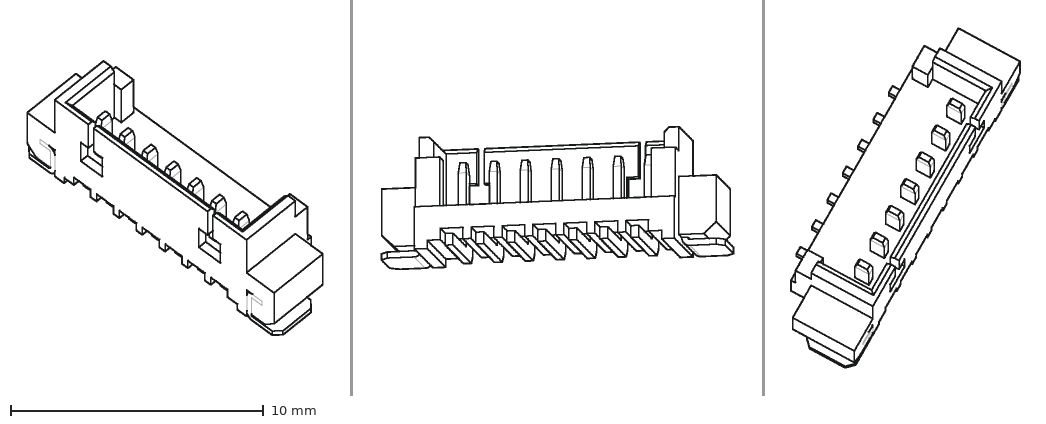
import cadquery as cq


length = 13.9
depth = 4.2
height = 4.7

housing_length = 10.5
housing_depth = 3.71
front_rim = 0.2
end_rim = 0.4
rim_chamfer = 0.2
front_wall = front_rim + rim_chamfer
end_wall = end_rim + rim_chamfer
floor_z = 1.71
wall_back = 2.8

column_width = 0.97
column_back = 3.5
column_top = 3.73

wing_length = 13.51
wing_top = 2.68
wing_bottom = 0.33
wing_chamfer_x = 0.5
wing_chamfer_z = 0.46

slot_inner = 3.11
slot_outer = 3.4
window_inner = 2.64
window_outer = 3.82
window_bottom = 2.11
window_top = 3.25

foot_width = 0.51
comb_length = 8.4
comb_roof = 0.79
tooth_width = 0.33

pin_count = 7
pin_pitch = 1.25
pin_width = 0.32
post_front = 0.92
post_back = 1.55
pin_top = 3.89
tip_height = 0.42
tip_inset_x = 0.04
tip_inset_y = 0.1
foot_front = 0.24
heel_height = 0.33
heel_run = 0.3
tail_height = 0.47

clip_depth = 2.22
clip_thickness = 0.25
clip_top = 1.63
clip_arm = 0.82
clip_inner_radius = 0.07
clip_outer_radius = clip_inner_radius + clip_thickness
clip_corner_chamfer = 0.3


def box(x0, x1, y0, y1, z0, z1):
    """Axis-aligned box between two opposite corners."""
    return cq.Workplane("XY").box(x1 - x0, y1 - y0, z1 - z0, centered=False).translate((x0, y0, z0))


def centered_box(width, y0, y1, z0, z1):
    """Box symmetric about X = 0."""
    return box(-width / 2, width / 2, y0, y1, z0, z1)


def both_sides(shape):
    """The shape together with its mirror image across X = 0."""
    return shape.union(shape.mirror("YZ"))


def make_housing():
    """Body with wings and the open cavity above the floor."""
    core = centered_box(housing_length, 0, housing_depth, 0, height)
    wings = (
        centered_box(wing_length, 0, wall_back, wing_bottom, wing_top)
        .faces("<Z").edges("|Y").chamfer(wing_chamfer_z, wing_chamfer_x)
    )
    above_ledge = centered_box(housing_length, wall_back, housing_depth, floor_z, height)
    cavity = centered_box(housing_length - 2 * end_wall, front_wall, housing_depth, floor_z, height)
    return core.union(wings).cut(above_ledge).cut(cavity).cut(make_rim_bevel()).union(make_columns())


def make_rim_bevel():
    """Tapered volume that bevels the inner top edges of the front and end walls."""
    base_length = housing_length - 2 * end_wall
    rim_length = housing_length - 2 * end_rim
    middle = (front_wall + housing_depth) / 2
    base_width = housing_depth - front_wall
    return (
        cq.Workplane("XY", origin=(0, middle, height - rim_chamfer))
        .rect(base_length, base_width)
        .workplane(offset=rim_chamfer)
        .rect(rim_length, base_width + 2 * rim_chamfer)
        .loft(ruled=True)
    )


def make_columns():
    """Low columns at the two back corners of the cavity."""
    outer = housing_length / 2
    return both_sides(box(outer - column_width, outer, wall_back, column_back, floor_z, column_top))


def make_front_openings():
    """Latch windows in the front wall, each with a narrow slot up to the rim."""
    slot = box(slot_inner, slot_outer, 0, front_wall, window_top, height)
    window = box(window_inner, window_outer, 0, front_wall, window_bottom, window_top)
    return both_sides(slot.union(window))


def make_underside_cut():
    """Relief under the housing that leaves end feet and a comb of teeth between the pins."""
    relief = centered_box(housing_length - 2 * foot_width, 0, housing_depth, 0, wing_bottom)
    comb = centered_box(comb_length, 0, housing_depth, wing_bottom, comb_roof)
    for i in range(pin_count - 1):
        x = (i - (pin_count - 2) / 2) * pin_pitch
        tooth = centered_box(tooth_width, 0, housing_depth, wing_bottom, comb_roof)
        comb = comb.cut(tooth.translate((x, 0, 0)))
    return relief.union(comb)


def make_pin():
    """Upright contact post with a tapered tip, a sloped heel and a flat solder tail."""
    profile = [
        (foot_front, comb_roof),
        (foot_front, heel_height),
        (foot_front + heel_run, 0),
        (depth, 0),
        (depth, tail_height),
        (post_back, tail_height),
        (post_back, comb_roof),
    ]
    foot = cq.Workplane("YZ").polyline(profile).close().extrude(pin_width / 2, both=True)
    post_depth = post_back - post_front
    shoulder = pin_top - tip_height
    post = centered_box(pin_width, post_front, post_back, comb_roof, shoulder)
    tip = (
        cq.Workplane("XY", origin=(0, (post_front + post_back) / 2, shoulder))
        .rect(pin_width, post_depth)
        .workplane(offset=tip_height)
        .rect(pin_width - 2 * tip_inset_x, post_depth - 2 * tip_inset_y)
        .loft(ruled=True)
    )
    return foot.union(post).union(tip)


def make_clip_pocket():
    """Square-cornered slot in the right wing that holds the clip; also the clip's upper blank."""
    inner = housing_length / 2
    upright = box(inner, inner + clip_thickness, 0, clip_depth, 0, clip_top)
    arm = box(inner, inner + clip_arm, 0, clip_depth, clip_top - clip_thickness, clip_top)
    return upright.union(arm)


def make_clip():
    """Right-hand C-shaped solder clip with two rounded bends."""
    inner = housing_length / 2
    foot = (
        box(inner, length / 2, 0, clip_depth, 0, clip_thickness)
        .edges("|Z and >X").chamfer(clip_corner_chamfer)
    )
    clip = make_clip_pocket().union(foot).edges("|Y and <X").fillet(clip_outer_radius)
    inner_corners = cq.selectors.BoxSelector(
        (inner + clip_thickness / 2, 0, clip_thickness / 2),
        (inner + clip_thickness * 3 / 2, clip_depth, clip_top - clip_thickness / 2),
    )
    return clip.edges("|Y").edges(inner_corners).fillet(clip_inner_radius)


housing = make_housing().cut(make_front_openings()).cut(make_underside_cut())
result = housing.cut(both_sides(make_clip_pocket())).union(both_sides(make_clip()), clean=False)

pin = make_pin()
for i in range(pin_count):
    pin_x = (i - (pin_count - 1) / 2) * pin_pitch
    result = result.union(pin.translate((pin_x, 0, 0)), clean=False)